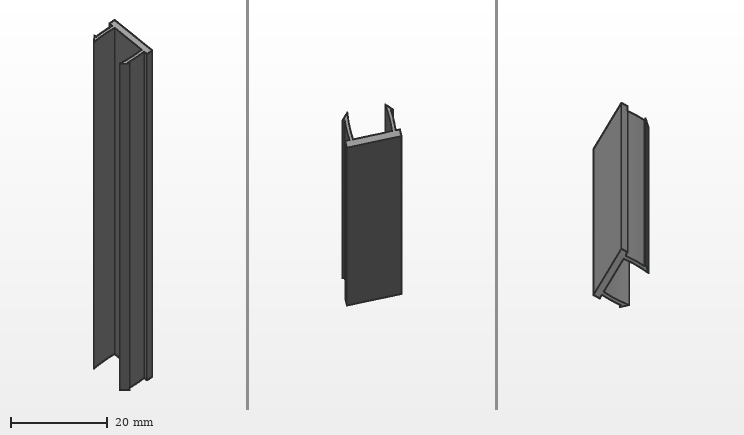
import cadquery as cq
import math

length = 100.0
width = 11.6
depth = 7.5
plate_thickness = 1.5

leg_thickness = 0.75
bow_inner_radius = 30.0
bow_outer_radius = bow_inner_radius + leg_thickness
tip_gap = 8.0
bow_centre = tip_gap / 2 - math.sqrt(bow_inner_radius**2 - (depth / 2) ** 2)

barb_reach = 5.4
barb_depth = 6.0

plate_face = depth / 2
plate_back = plate_face - plate_thickness
barb_y = plate_face - barb_depth
tip_y = plate_face - depth


def arc_point(radius, y):
    """Point at height y on a bow arc of the given radius."""
    return (bow_centre + math.sqrt(radius**2 - y**2), y)


leg = (
    cq.Workplane("XY")
    .moveTo(*arc_point(bow_outer_radius, plate_back))
    .threePointArc(arc_point(bow_outer_radius, 0), arc_point(bow_outer_radius, barb_y))
    .lineTo(barb_reach, barb_y)
    .lineTo(*arc_point(bow_inner_radius, tip_y))
    .threePointArc(arc_point(bow_inner_radius, 0), arc_point(bow_inner_radius, plate_back))
    .lineTo(arc_point(bow_inner_radius, plate_back)[0], plate_face)
    .lineTo(arc_point(bow_outer_radius, plate_back)[0], plate_face)
    .close()
    .extrude(length)
)

plate = (
    cq.Workplane("XY")
    .center(0, (plate_face + plate_back) / 2)
    .rect(width, plate_thickness)
    .extrude(length)
)

result = plate.union(leg).union(leg.mirror("YZ")).translate((0, 0, -length / 2))